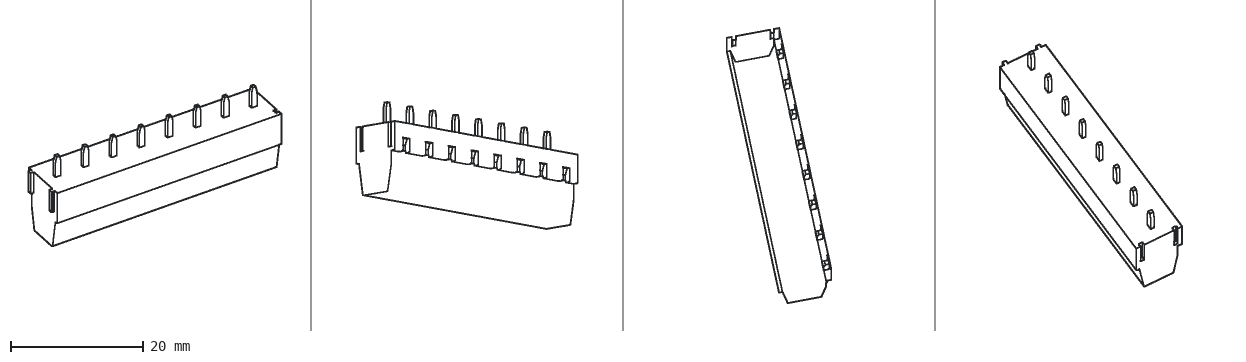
import cadquery as cq
import math

POSITIONS = 8
OVERALL_LENGTH = 40.6
BODY_LENGTH = 40.05
PITCH = BODY_LENGTH / POSITIONS
BODY_BACK = BODY_LENGTH / 2
BODY_FRONT = -BODY_BACK

BODY_WIDTH = 8.1
HALF_WIDTH = BODY_WIDTH / 2
BODY_HEIGHT = 10.65
LEFT_SHOULDER_Z = 6.2
RIGHT_SHOULDER_Z = 5.0
LEFT_WALL_X = -3.25
LEFT_TAPER_Z = 3.9
RIGHT_WALL_X = 3.5
FLOOR_LEFT_X = -2.5
FLOOR_RIGHT_X = 2.68
EDGE_RADIUS = 0.25

PIN_THICKNESS = 0.6
PIN_WIDTH = 0.97
PIN_HEIGHT = 3.65
PIN_TIP_HEIGHT = 0.97
PIN_TIP_WIDTH = 0.53

WINDOW_WIDTH = 1.45
WINDOW_TOP_Z = 8.32
WINDOW_LEDGE_Z = 6.5
WINDOW_BACK_X = -3.13
WINDOW_RAMP_HEIGHT = 0.97
WINDOW_RAMP_ANGLE = 20.0

RAIL_DEPTH = OVERALL_LENGTH - BODY_LENGTH
RAIL_LENGTH = 3.78
RAIL_INNER_X = 2.65
RAIL_OUTER_X = 3.25
RAIL_BARB_X = 3.35
RAIL_BARB_REACH = 0.4


def housing():
    """Stepped and tapered bar with rounded shoulders and floor edges."""
    outline = [
        (-HALF_WIDTH, BODY_HEIGHT),
        (-HALF_WIDTH, LEFT_SHOULDER_Z),
        (LEFT_WALL_X, LEFT_SHOULDER_Z),
        (LEFT_WALL_X, LEFT_TAPER_Z),
        (FLOOR_LEFT_X, 0),
        (FLOOR_RIGHT_X, 0),
        (RIGHT_WALL_X, RIGHT_SHOULDER_Z),
        (HALF_WIDTH, RIGHT_SHOULDER_Z),
        (HALF_WIDTH, BODY_HEIGHT),
    ]
    bar = cq.Workplane("XZ", origin=(0, BODY_BACK, 0)).polyline(outline).close().extrude(BODY_LENGTH)
    rounded_corners = [
        (-HALF_WIDTH, LEFT_SHOULDER_Z),
        (FLOOR_LEFT_X, 0),
        (FLOOR_RIGHT_X, 0),
        (HALF_WIDTH, RIGHT_SHOULDER_Z),
    ]
    for x, z in rounded_corners:
        bar = bar.edges(cq.NearestToPointSelector((x, 0, z))).fillet(EDGE_RADIUS)
    return bar


def pin(y):
    """Flat contact standing on the housing, its tip tapered across Y."""
    half = PIN_WIDTH / 2
    half_tip = PIN_TIP_WIDTH / 2
    tip_start = PIN_HEIGHT - PIN_TIP_HEIGHT
    outline = [
        (-half, 0),
        (half, 0),
        (half, tip_start),
        (half_tip, PIN_HEIGHT),
        (-half_tip, PIN_HEIGHT),
        (-half, tip_start),
    ]
    plane = cq.Workplane("YZ", origin=(-PIN_THICKNESS / 2, y, BODY_HEIGHT))
    return plane.polyline(outline).close().extrude(PIN_THICKNESS)


def window(y):
    """Cutter for a notch through the shoulder, sunk behind the lower wall above its ledge."""
    ramp_run = WINDOW_RAMP_HEIGHT * math.tan(math.radians(WINDOW_RAMP_ANGLE))
    outline = [
        (-HALF_WIDTH, LEFT_SHOULDER_Z),
        (LEFT_WALL_X, LEFT_SHOULDER_Z),
        (LEFT_WALL_X, WINDOW_LEDGE_Z),
        (WINDOW_BACK_X, WINDOW_LEDGE_Z),
        (WINDOW_BACK_X, WINDOW_TOP_Z - WINDOW_RAMP_HEIGHT),
        (WINDOW_BACK_X - ramp_run, WINDOW_TOP_Z),
        (-HALF_WIDTH, WINDOW_TOP_Z),
    ]
    plane = cq.Workplane("XZ", origin=(0, y + WINDOW_WIDTH / 2, 0))
    return plane.polyline(outline).close().extrude(WINDOW_WIDTH)


def rail(side, face_y):
    """Barbed rail reaching from face_y towards -Y; side is -1 or +1 in X."""
    tip_y = face_y - RAIL_DEPTH
    barb_y = face_y - RAIL_BARB_REACH
    outline = [
        (side * RAIL_INNER_X, face_y),
        (side * RAIL_OUTER_X, face_y),
        (side * RAIL_BARB_X, barb_y),
        (side * RAIL_OUTER_X, tip_y),
        (side * RAIL_INNER_X, tip_y),
    ]
    plane = cq.Workplane("XY", origin=(0, 0, BODY_HEIGHT - RAIL_LENGTH))
    return plane.polyline(outline).close().extrude(RAIL_LENGTH)


result = housing()
for index in range(POSITIONS):
    pin_y = BODY_FRONT + PITCH * (index + 0.5)
    result = result.cut(window(pin_y)).union(pin(pin_y))
for side in (-1, 1):
    result = result.cut(rail(side, BODY_BACK)).union(rail(side, BODY_FRONT))